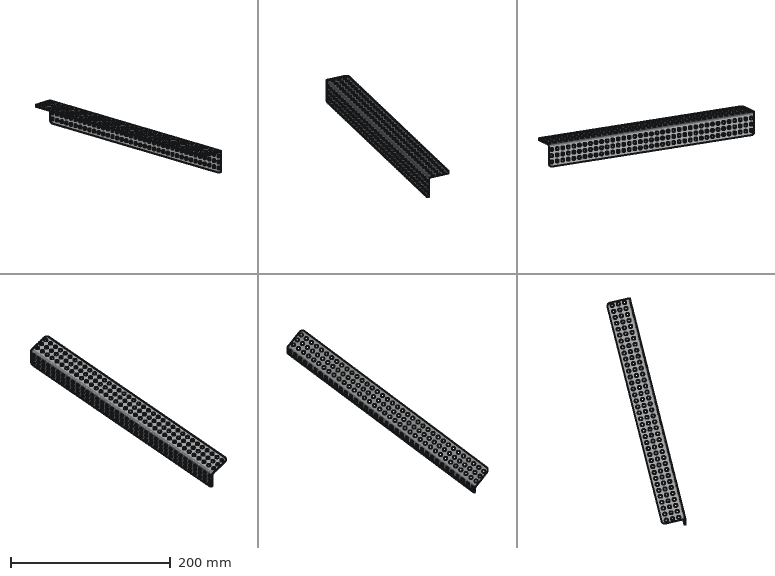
import cadquery as cq

length = 296.0
leg = 30.2
thickness = 1.5
bend_inner_radius = 0.75
bend_outer_radius = bend_inner_radius + thickness
corner_radius = 4.5

columns = 37
rows = 3
pitch = length / columns
hole_diameter = 4.0
last_row_from_free_edge = 6.2
first_row_from_heel = leg - last_row_from_free_edge - (rows - 1) * pitch

column_positions = [(column + 0.5) * pitch for column in range(columns)]
row_offsets = [first_row_from_heel + row * pitch for row in range(rows)]


def angle_strip():
    """L section with a rounded bend, extruded along X."""
    strip = (
        cq.Workplane("YZ")
        .moveTo(-leg, 0)
        .lineTo(0, 0)
        .lineTo(0, -leg)
        .lineTo(-thickness, -leg)
        .lineTo(-thickness, -thickness)
        .lineTo(-leg, -thickness)
        .close()
        .extrude(length)
    )
    heel = cq.NearestToPointSelector((length / 2, 0, 0))
    inner_corner = cq.NearestToPointSelector((length / 2, -thickness, -thickness))
    return strip.edges(heel).fillet(bend_outer_radius).edges(inner_corner).fillet(bend_inner_radius)


def round_free_corners(strip):
    """Round the two end corners at the free edge of each leg."""
    strip = strip.faces("<Y").edges("|Z").fillet(corner_radius)
    return strip.faces("<Z").edges("|Y").fillet(corner_radius)


def hole_circles(plane):
    """Circles of the hole grid on the outer plane of one leg, both grids starting at the heel."""
    centers = [(x, -offset) for x in column_positions for offset in row_offsets]
    return cq.Workplane(plane).pushPoints(centers).circle(hole_diameter / 2)


top_leg_holes = hole_circles("XY").extrude(-thickness)
back_leg_holes = hole_circles("XZ").extrude(thickness)

result = round_free_corners(angle_strip()).cut(top_leg_holes).cut(back_leg_holes)